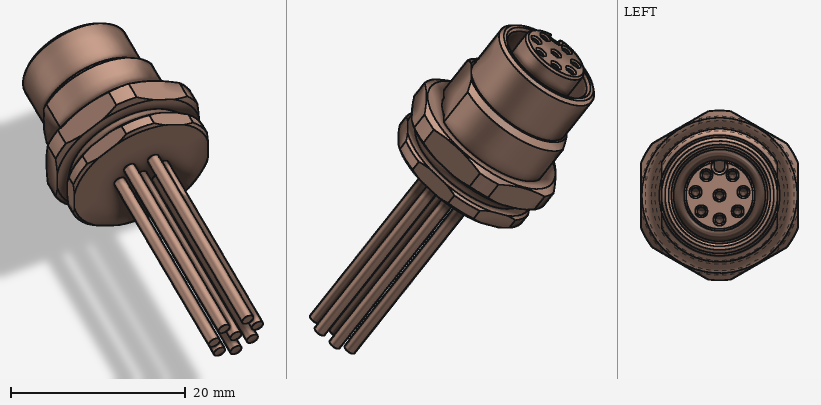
import cadquery as cq
import math

SHELL_FRONT = 1.5
BODY_FRONT = 7.5
NUT_FRONT = 13.02
NUT_REAR = 16.0
FLANGE_FRONT = 17.6
FLANGE_REAR = 19.5
WIRE_END = 44.6

SHELL_RADIUS = 6.65
SHELL_CHAMFER = 0.4
SOCKET_RADIUS = 5.55
SOCKET_CHAMFER = 0.3

BODY_RADIUS = 7.63
NECK_RADIUS = 6.9
BODY_CHAMFER = BODY_RADIUS - NECK_RADIUS

NUT_ACROSS_FLATS = 18.0
NUT_CORNER_RADIUS = 19.5 / 2
NUT_BEVEL_LENGTH = 0.45
NUT_FRONT_BEVEL_DEPTH = 0.85
NUT_REAR_BEVEL_DEPTH = 0.62
FLANGE_ACROSS_FLATS = 17.0
FLANGE_CORNER_RADIUS = 8.95
FLANGE_BEVEL_LENGTH = 0.3
FLANGE_BEVEL_DEPTH = 0.35

SEAL_TUBE_RADIUS = 1.0
SEAL_RADIUS = 6.85

CORE_RADIUS = 4.05
CORE_RIM_LENGTH = 0.3
CORE_RIM_DEPTH = 0.22
SOCKET_SEAL_TUBE_RADIUS = 0.62
SOCKET_SEAL_RADIUS = 4.65

KEYWAY_RADIUS = 0.62
KEYWAY_CENTRE_Z = 3.3
KEYWAY_MOUTH_RADIUS = 0.95

CONTACT_CIRCLE_RADIUS = 2.75
CONTACT_COUNT = 7
CONTACT_STEP = 49.0
CONTACT_RADIUS = 0.5
CONTACT_MOUTH_RADIUS = 0.7
CONTACT_MOUTH_DEPTH = 0.22
CONTACT_DEPTH = 4.45
WIRE_RADIUS = 0.7


def turned(points):
    """Solid of revolution about the X axis from (x, radius) points."""
    return cq.Workplane("XY").polyline(points).close().revolve(360, (0, 0, 0), (1, 0, 0))


def rod(x_start, x_end, radius, y=0.0, z=0.0):
    """Cylinder parallel to the X axis."""
    return cq.Workplane("YZ", origin=(x_start, y, z)).circle(radius).extrude(x_end - x_start)


def ring(x, radius, tube_radius):
    """Torus round the X axis."""
    return cq.Workplane("XY").center(x, radius).circle(tube_radius).revolve(
        360, (0, -radius, 0), (1, -radius, 0)
    )


def bevelled_hexagon(x_front, x_rear, across_flats, corner_radius, bevel_length, front_depth, rear_depth):
    """Hexagonal plate with corners up and down, turned to corner_radius and bevelled at both ends."""
    hexagon = (
        cq.Workplane("YZ", origin=(x_front, 0, 0))
        .transformed(rotate=(0, 0, 90))
        .polygon(6, across_flats / math.cos(math.pi / 6))
        .extrude(x_rear - x_front)
    )
    envelope = turned([
        (x_front, 0),
        (x_front, corner_radius - front_depth),
        (x_front + bevel_length, corner_radius),
        (x_rear - bevel_length, corner_radius),
        (x_rear, corner_radius - rear_depth),
        (x_rear, 0),
    ])
    return hexagon.intersect(envelope)


def contact_places():
    """(y, z) of every contact: the middle one, then the circle centred on the lowest one."""
    places = [(0.0, 0.0)]
    for number in range(CONTACT_COUNT):
        angle = math.radians((number - (CONTACT_COUNT - 1) / 2) * CONTACT_STEP)
        places.append((CONTACT_CIRCLE_RADIUS * math.sin(angle), -CONTACT_CIRCLE_RADIUS * math.cos(angle)))
    return places


def make_shell():
    """Tube round the core, from the mating face to the socket floor."""
    return turned([
        (SHELL_FRONT, SOCKET_RADIUS + SOCKET_CHAMFER),
        (SHELL_FRONT, SHELL_RADIUS - SHELL_CHAMFER),
        (SHELL_FRONT + SHELL_CHAMFER, SHELL_RADIUS),
        (BODY_FRONT, SHELL_RADIUS),
        (BODY_FRONT, SOCKET_RADIUS),
        (SHELL_FRONT + SOCKET_CHAMFER, SOCKET_RADIUS),
    ])


def make_body_and_neck():
    """Stepped round body trimmed by a flat on each side."""
    stepped = turned([
        (BODY_FRONT, 0),
        (BODY_FRONT, BODY_RADIUS - BODY_CHAMFER),
        (BODY_FRONT + BODY_CHAMFER, BODY_RADIUS),
        (NUT_FRONT, BODY_RADIUS),
        (NUT_FRONT, NECK_RADIUS),
        (FLANGE_FRONT, NECK_RADIUS),
        (FLANGE_FRONT, 0),
    ])
    between_flats = cq.Workplane("XY").box(2 * FLANGE_FRONT, 2 * SHELL_RADIUS, 2 * BODY_RADIUS)
    return stepped.intersect(between_flats)


def make_keyway():
    """Round-bottomed groove, open at the top, with a conical mouth at the tip."""
    groove = rod(0, BODY_FRONT, KEYWAY_RADIUS, z=KEYWAY_CENTRE_Z)
    opening = (
        cq.Workplane("XY", origin=(0, 0, KEYWAY_CENTRE_Z))
        .rect(2 * BODY_FRONT, 2 * KEYWAY_RADIUS)
        .extrude(CORE_RADIUS - KEYWAY_CENTRE_Z)
    )
    mouth = turned([
        (0, 0),
        (0, KEYWAY_MOUTH_RADIUS),
        (KEYWAY_MOUTH_RADIUS - KEYWAY_RADIUS, KEYWAY_RADIUS),
        (KEYWAY_MOUTH_RADIUS - KEYWAY_RADIUS, 0),
    ]).translate((0, 0, KEYWAY_CENTRE_Z))
    return groove.union(opening).union(mouth)


def make_contact_hole():
    """Blind hole on the axis with a countersunk mouth and a conical bottom."""
    return turned([
        (0, 0),
        (0, CONTACT_MOUTH_RADIUS),
        (CONTACT_MOUTH_DEPTH, CONTACT_RADIUS),
        (CONTACT_DEPTH, CONTACT_RADIUS),
        (CONTACT_DEPTH + CONTACT_RADIUS, 0),
    ])


def make_core():
    """Round core with a bevelled rim and a keyway."""
    core = turned([
        (0, 0),
        (0, CORE_RADIUS - CORE_RIM_DEPTH),
        (CORE_RIM_LENGTH, CORE_RADIUS),
        (BODY_FRONT, CORE_RADIUS),
        (BODY_FRONT, 0),
    ])
    return core.cut(make_keyway())


def make_connector():
    """Everything except the nut: shell, core, body, flange, seals and wires."""
    flange = bevelled_hexagon(
        FLANGE_FRONT, FLANGE_REAR, FLANGE_ACROSS_FLATS, FLANGE_CORNER_RADIUS,
        FLANGE_BEVEL_LENGTH, FLANGE_BEVEL_DEPTH, FLANGE_BEVEL_DEPTH,
    )
    socket_seal = ring(BODY_FRONT, SOCKET_SEAL_RADIUS, SOCKET_SEAL_TUBE_RADIUS)
    seal_space = rod(NUT_REAR, FLANGE_FRONT, SEAL_RADIUS + 2 * SEAL_TUBE_RADIUS)
    seal = ring((NUT_REAR + FLANGE_FRONT) / 2, SEAL_RADIUS, SEAL_TUBE_RADIUS).intersect(seal_space)

    connector = make_body_and_neck().union(make_shell()).union(make_core())
    connector = connector.union(flange).union(socket_seal).union(seal)

    contact_hole = make_contact_hole()
    for y, z in contact_places():
        connector = connector.cut(contact_hole.translate((0, y, z)))
        connector = connector.union(rod(FLANGE_REAR, WIRE_END, WIRE_RADIUS, y, z))
    return connector


def make_nut():
    """Hexagonal nut with a round bore that fits the neck."""
    blank = bevelled_hexagon(
        NUT_FRONT, NUT_REAR, NUT_ACROSS_FLATS, NUT_CORNER_RADIUS,
        NUT_BEVEL_LENGTH, NUT_FRONT_BEVEL_DEPTH, NUT_REAR_BEVEL_DEPTH,
    )
    return blank.cut(rod(NUT_FRONT, NUT_REAR, NECK_RADIUS))


connector = make_connector()
nut = make_nut()

result = cq.Compound.makeCompound([connector.solids().val(), nut.solids().val()])